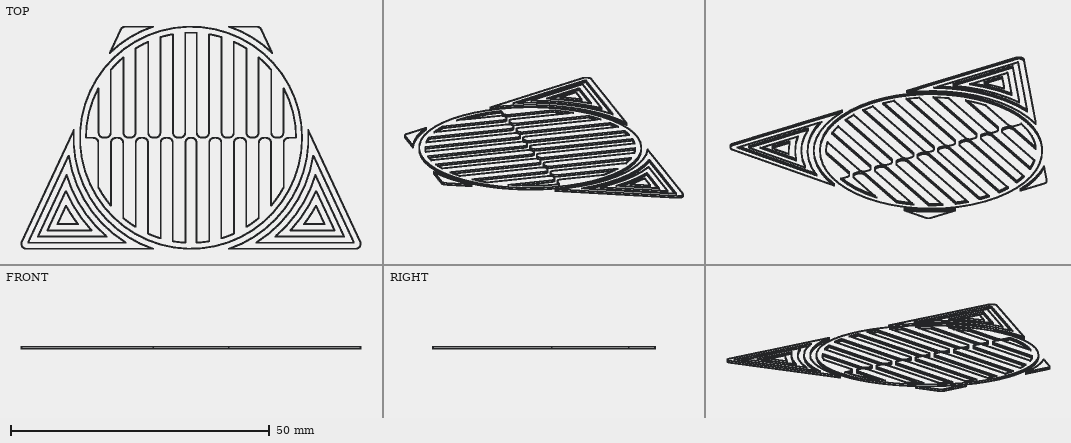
import cadquery as cq
import math

thickness = 0.4
disc_diameter = 43.02
bar_width = 2.4
center_bar_width = 2.2
rim_width = 1.2
strips_per_side = 7
bar_corner_radius = 1.0

outline_width = 65.65
side_angle = math.radians(65)
bottom_corner_radius = 1.0
top_corner_radius = 1.0

disc_radius = disc_diameter / 2
opening_radius = disc_radius - rim_width
clearance_radius = disc_radius + rim_width
corner_cutback = bottom_corner_radius * (1 / math.tan(side_angle / 2) - 1)
bottom_half_width = outline_width / 2 + corner_cutback
top_half_width = bottom_half_width - 2 * disc_radius / math.tan(side_angle)


def disc(radius):
    return cq.Workplane("XY").circle(radius).extrude(thickness)


def block(x_min, x_max, y_min, y_max):
    return (
        cq.Workplane("XY")
        .box(x_max - x_min, y_max - y_min, thickness, centered=False)
        .translate((x_min, y_min, 0))
    )


def strip_edge(index):
    """Distance from the middle plane to the outer edge of a strip; the center bar is strip 0."""
    return center_bar_width / 2 + index * bar_width


def upper_bar(x_min, x_max):
    """Bar hanging from the rim to the middle line, with a rounded free end."""
    bar = block(x_min, x_max, 0, disc_radius)
    return bar.edges("|Z and <Y").fillet(bar_corner_radius)


def lower_bar(x_min, x_max):
    """Bar standing from the rim up to the middle line, with a rounded free end."""
    bar = block(x_min, x_max, -disc_radius, 0)
    return bar.edges("|Z and >Y").fillet(bar_corner_radius)


def lower_side_fill():
    """Solid stretch to the right of the outermost lower slot."""
    fill = block(strip_edge(strips_per_side), disc_radius, -disc_radius, 0)
    return fill.edges("|Z and <X and >Y").fillet(bar_corner_radius)


def make_grille():
    side_bars = lower_side_fill()
    for index in range(1, strips_per_side + 1):
        make_bar = upper_bar if index % 2 == 1 else lower_bar
        side_bars = side_bars.union(make_bar(strip_edge(index - 1), strip_edge(index)))
    bars = lower_bar(-strip_edge(0), strip_edge(0)).union(side_bars).union(side_bars.mirror("YZ"))
    rim = disc(disc_radius).cut(disc(opening_radius))
    return rim.union(bars.intersect(disc(disc_radius)))


def left_half_outline():
    """Left half of the trapezoid, with both outer corners rounded."""
    half = (
        cq.Workplane("XY")
        .moveTo(0, -disc_radius)
        .lineTo(-bottom_half_width, -disc_radius)
        .lineTo(-top_half_width, disc_radius)
        .lineTo(0, disc_radius)
        .close()
        .extrude(thickness)
    )
    half = half.edges("|Z and <X").fillet(bottom_corner_radius)
    top_corner = cq.selectors.NearestToPointSelector((-top_half_width, disc_radius, thickness / 2))
    return half.edges(top_corner).fillet(top_corner_radius)


def corner_pieces():
    """Bottom and top pieces left between the trapezoid and the clearance around the disc."""
    left = left_half_outline().cut(disc(clearance_radius))
    return left.solids("<Y"), left.solids(">Y")


def inset_corner(inset):
    """Bottom left corner area shrunk by an equal distance from its three sides."""
    bottom = inset - disc_radius
    bottom_x = -bottom_half_width + inset / math.sin(side_angle) + inset / math.tan(side_angle)
    top_x = bottom_x - bottom / math.tan(side_angle)
    wedge = (
        cq.Workplane("XY")
        .moveTo(bottom_x, bottom)
        .lineTo(0, bottom)
        .lineTo(0, 0)
        .lineTo(top_x, 0)
        .close()
        .extrude(thickness)
    )
    return wedge.cut(disc(clearance_radius + inset))


bottom_corner, top_piece = corner_pieces()
grille = make_grille()
outer_frame = cq.Workplane(bottom_corner.val()).cut(inset_corner(rim_width))
inner_frame = inset_corner(2 * rim_width).cut(inset_corner(3 * rim_width))
center_triangle = inset_corner(4 * rim_width)

bodies = [grille.val()]
for piece in (outer_frame, inner_frame, center_triangle, top_piece):
    bodies.append(piece.val())
    bodies.append(piece.val().mirror("YZ"))

result = cq.Compound.makeCompound(bodies)